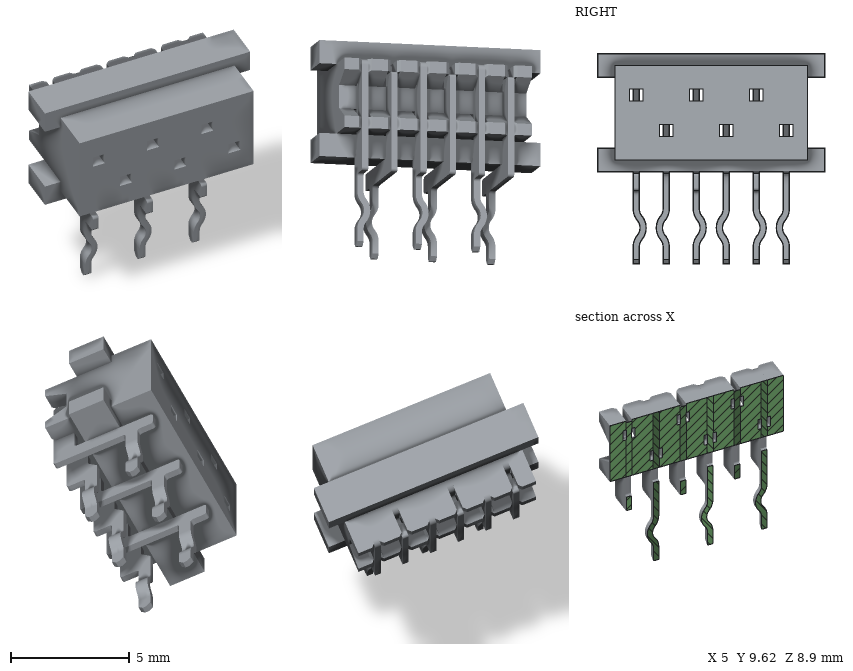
import cadquery as cq


contact_count = 6
contact_pitch = 1.27
contact_thickness = 0.27

housing_depth = 5.0
housing_width = 8.15
core_bottom = 1.8
core_height = 3.0
core_top = core_bottom + core_height
core_middle = (core_bottom + core_top) / 2
plug_height = 4.0
flange_front = 1.49
flange_back = 3.12
flange_height = 5.0
flange_length = 9.62

groove_depth = 1.0
groove_mouth = 2.0
groove_floor = 1.0

window_width = 0.555
window_height = (groove_mouth - groove_floor) / 2
window_offset = (groove_floor + window_height) / 2
slot_chamfer = 0.14

limb_width = groove_depth
near_blade_end = 1.6
far_blade_end = 2.0
neck_width = 0.73
neck_bottom = core_middle - groove_mouth / 2
neck_top = core_middle + groove_mouth / 2
blade_radius = 0.25
foot_length = 4.7
foot_height = 0.73
gusset_size = 0.43
hook_height = core_middle + groove_mouth / 2
hook_flat = 0.25
relief_floor = core_middle + groove_floor / 2
relief_slope = hook_height - relief_floor
small_radius = 0.12

leg_width = 0.56
near_leg_x = 1.15
leg_row_spacing = 2 * contact_pitch
leg_length = 3.1
tip_chamfer = 0.19

bend_top = -0.76
bend_length = 1.62
bend_shift = 0.29
silhouette_width = 2 * (contact_thickness + bend_shift)


def block(x_range, y_range, z_range):
    """Box spanning the given (low, high) limits."""
    sizes = [high - low for low, high in (x_range, y_range, z_range)]
    corner = (x_range[0], y_range[0], z_range[0])
    return cq.Workplane("XY").box(*sizes, centered=False).translate(corner)


def centred(middle, size):
    """Limits of a span of the given size about its middle."""
    return (middle - size / 2, middle + size / 2)


def plate(points, width):
    """XZ outline extruded symmetrically about Y = 0."""
    return cq.Workplane("XZ").polyline(points).close().extrude(width / 2, both=True)


def round_corners(body, corners, radius):
    """Fillet the Y-direction edges passing through the (x, z) corners."""
    for x, z in corners:
        edge = cq.selectors.NearestToPointSelector((x, 0, z))
        body = body.edges("|Y").edges(edge).fillet(radius)
    return body


def is_near(index):
    """Contacts counted 0, 2, 4 from the +Y end have their legs in the near row."""
    return index % 2 == 0


def contact_y(index):
    return ((contact_count - 1) / 2 - index) * contact_pitch


def groove():
    return plate(
        [
            (0, core_middle - groove_mouth / 2),
            (groove_depth, core_middle - groove_floor / 2),
            (groove_depth, core_middle + groove_floor / 2),
            (0, core_middle + groove_mouth / 2),
        ],
        housing_width,
    )


def contact_slot(index):
    """Slot holding one blade, with a chamfered lead-in at the entry face."""
    slot_end = near_blade_end if is_near(index) else far_blade_end
    half_slot = contact_thickness / 2
    half_mouth = half_slot + slot_chamfer
    outline = [
        (0, -half_mouth),
        (slot_chamfer, -half_slot),
        (slot_end, -half_slot),
        (slot_end, half_slot),
        (slot_chamfer, half_slot),
        (0, half_mouth),
    ]
    slot = cq.Workplane("XY").polyline(outline).close().extrude(core_height)
    return slot.translate((0, contact_y(index), core_bottom))


def wire_window(index):
    side = -1 if is_near(index) else 1
    return block(
        (0, housing_depth),
        centred(contact_y(index), window_width),
        centred(core_middle + side * window_offset, window_height),
    )


def make_housing():
    across = centred(0, housing_width)
    body = block((0, housing_depth), across, (core_bottom, core_top))
    plug = block((flange_back, housing_depth), across, centred(core_middle, plug_height))
    body = body.union(plug)
    bar_height = (flange_height - core_height) / 2
    for bar_bottom in (core_top, core_bottom - bar_height):
        bar = block(
            (flange_front, flange_back),
            centred(0, flange_length),
            (bar_bottom, bar_bottom + bar_height),
        )
        body = body.union(bar)
    body = body.cut(groove())
    for index in range(contact_count):
        body = body.cut(contact_slot(index)).cut(wire_window(index))
    return body


def leg_points(leg_x):
    """Leg outline from its +X root, round the pointed tip, to its -X root."""
    left, right = centred(leg_x, leg_width)
    return [
        (right, 0),
        (right, tip_chamfer - leg_length),
        (right - tip_chamfer, -leg_length),
        (left + tip_chamfer, -leg_length),
        (left, tip_chamfer - leg_length),
        (left, 0),
    ]


def near_silhouette():
    """Side outline of a contact whose leg is under its own limb."""
    leg = leg_points(near_leg_x)
    leg_right = leg[0][0]
    leg_left = leg[-1][0]
    outline = [
        (0, 0),
        (0, core_top),
        (near_blade_end, core_top),
        (near_blade_end, core_bottom),
        (limb_width, core_bottom),
        (limb_width, foot_height + gusset_size),
        (leg_right, foot_height),
    ]
    body = plate(outline + leg, silhouette_width)
    neck_gap = block(
        (neck_width, limb_width),
        centred(0, silhouette_width),
        (neck_bottom, neck_top),
    )
    body = body.cut(neck_gap)
    body = round_corners(body, [(0, core_top), (near_blade_end, core_top)], blade_radius)
    return round_corners(body, [(0, 0), (leg_left, 0)], small_radius)


def far_silhouette():
    """Side outline of a contact with a long foot and a hooked top."""
    leg = leg_points(near_leg_x + leg_row_spacing)
    leg_right = leg[0][0]
    leg_left = leg[-1][0]
    relief_start = hook_flat + relief_slope
    outline = [
        (0, 0),
        (0, hook_height),
        (hook_flat, hook_height),
        (relief_start, relief_floor),
        (limb_width, relief_floor),
        (limb_width, core_top),
        (far_blade_end, core_top),
        (far_blade_end, core_bottom),
        (limb_width, core_bottom),
        (limb_width, foot_height),
        (foot_length, foot_height),
        (foot_length, 0),
    ]
    body = plate(outline + leg, silhouette_width)
    body = round_corners(body, [(limb_width, core_top)], blade_radius)
    rounded = [
        (0, 0),
        (0, hook_height),
        (hook_flat, hook_height),
        (relief_start, relief_floor),
        (limb_width, relief_floor),
        (limb_width, foot_height),
        (foot_length, foot_height),
        (foot_length, 0),
        (leg_right, 0),
        (leg_left, 0),
    ]
    return round_corners(body, rounded, small_radius)


def bent_strip(direction):
    """Strip of sheet seen edge-on, straight except for the S-bend toward direction * Y."""
    crest_y = direction * bend_shift
    quarter = bend_length / 4
    path = (
        cq.Workplane("YZ")
        .moveTo(0, core_top)
        .lineTo(0, bend_top)
        .tangentArcPoint((crest_y / 2, bend_top - quarter), relative=False)
        .tangentArcPoint((crest_y / 2, bend_top - 3 * quarter), relative=False)
        .tangentArcPoint((0, bend_top - bend_length), relative=False)
        .lineTo(0, -leg_length)
    )
    section = cq.Workplane("XY", origin=(0, 0, core_top)).rect(2 * housing_depth, contact_thickness)
    return section.sweep(path)


def make_contact(index):
    if is_near(index):
        contact = near_silhouette().intersect(bent_strip(-1))
    else:
        contact = far_silhouette().intersect(bent_strip(1))
    return contact.translate((0, contact_y(index), 0))


housing = make_housing()
contacts = [make_contact(index) for index in range(contact_count)]

result = cq.Compound.makeCompound([body.solids().val() for body in [housing, *contacts]])